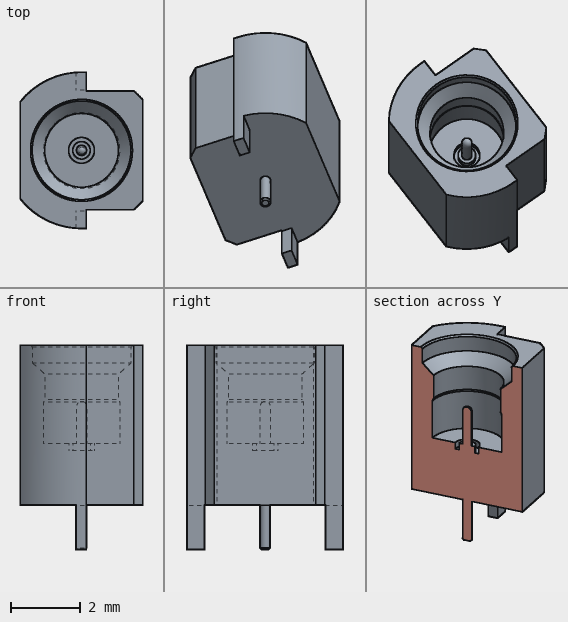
import cadquery as cq
import math

BODY_HEIGHT = 4.572
BODY_WIDTH = 3.507
BACK_RADIUS = 2.235
FRONT_HALF_DEPTH = 1.702
FRONT_CHAMFER = 0.254
SHOULDER_X = 0.14

LEG_LENGTH = 1.27
LEG_BACK_X = -0.16
LEG_DEPTH = 0.508
TAIL_DIAMETER = 0.30
TAIL_CHAMFER = 0.05

MOUTH_DIAMETER = 2.82
MOUTH_CHAMFER = 0.05
MOUTH_DEPTH = 0.50
BORE_DIAMETER = 2.11
TAPER_DEPTH = 0.82
LIP_DEPTH = 1.55
RELIEF_DIAMETER = 2.18
RELIEF_DEPTH = 1.625
FLOOR_DEPTH = 2.8

RECESS_DIAMETER = 0.74
SHOULDER_DIAMETER = 0.50
RECESS_DEPTH = 0.2
CONTACT_DIAMETER = 0.29
CONTACT_TIP_DEPTH = 1.6


def make_body():
    half_width = BODY_WIDTH / 2
    back_corner_y = math.sqrt(BACK_RADIUS**2 - half_width**2)
    arc_middle = BACK_RADIUS * math.sqrt(0.5)
    half = (
        cq.Workplane("XY")
        .moveTo(-half_width, 0)
        .lineTo(-half_width, back_corner_y)
        .threePointArc((-arc_middle, arc_middle), (0, BACK_RADIUS))
        .lineTo(SHOULDER_X, BACK_RADIUS)
        .lineTo(SHOULDER_X, FRONT_HALF_DEPTH)
        .lineTo(half_width - FRONT_CHAMFER, FRONT_HALF_DEPTH)
        .lineTo(half_width, FRONT_HALF_DEPTH - FRONT_CHAMFER)
        .lineTo(half_width, 0)
        .mirrorX()
    )
    return half.extrude(BODY_HEIGHT)


def make_socket():
    """Solid of revolution that is removed from the body."""
    mouth_radius = MOUTH_DIAMETER / 2
    bore_radius = BORE_DIAMETER / 2
    relief_radius = RELIEF_DIAMETER / 2
    top = BODY_HEIGHT
    return (
        cq.Workplane("XZ")
        .moveTo(0, top)
        .lineTo(mouth_radius + MOUTH_CHAMFER, top)
        .lineTo(mouth_radius, top - MOUTH_CHAMFER)
        .lineTo(mouth_radius, top - MOUTH_DEPTH)
        .lineTo(bore_radius, top - TAPER_DEPTH)
        .lineTo(bore_radius, top - LIP_DEPTH)
        .lineTo(relief_radius, top - RELIEF_DEPTH)
        .lineTo(relief_radius, top - FLOOR_DEPTH)
        .lineTo(0, top - FLOOR_DEPTH)
        .close()
        .revolve(360, (0, 0, 0), (0, 1, 0))
    )


def make_contact_recess():
    return (
        cq.Workplane("XY")
        .workplane(offset=BODY_HEIGHT - FLOOR_DEPTH)
        .circle(RECESS_DIAMETER / 2)
        .circle(SHOULDER_DIAMETER / 2)
        .extrude(-RECESS_DEPTH)
    )


def make_contact():
    """Contact pin with a hemispherical tip, rooted at the level of the recess floor."""
    radius = CONTACT_DIAMETER / 2
    recess_floor = BODY_HEIGHT - FLOOR_DEPTH - RECESS_DEPTH
    tip_center = BODY_HEIGHT - CONTACT_TIP_DEPTH - radius
    shank = (
        cq.Workplane("XY")
        .workplane(offset=recess_floor)
        .circle(radius)
        .extrude(tip_center - recess_floor)
    )
    tip = cq.Workplane("XY").sphere(radius).translate((0, 0, tip_center))
    return shank.union(tip)


def make_tail():
    return (
        cq.Workplane("XY")
        .circle(TAIL_DIAMETER / 2)
        .extrude(-LEG_LENGTH)
        .faces("<Z")
        .chamfer(TAIL_CHAMFER)
    )


def make_leg(side):
    """Leg trimmed to the body outline, hanging below the body; side is +1 or -1 along Y."""
    blank = (
        cq.Workplane("XY")
        .center((LEG_BACK_X + SHOULDER_X) / 2, side * (BACK_RADIUS - LEG_DEPTH / 2))
        .rect(SHOULDER_X - LEG_BACK_X, LEG_DEPTH)
        .extrude(-LEG_LENGTH)
    )
    outline = make_body().translate((0, 0, -BODY_HEIGHT))
    return blank.intersect(outline)


result = make_body().cut(make_socket()).cut(make_contact_recess())
result = result.union(make_contact()).union(make_tail())
for side in (1, -1):
    result = result.union(make_leg(side))